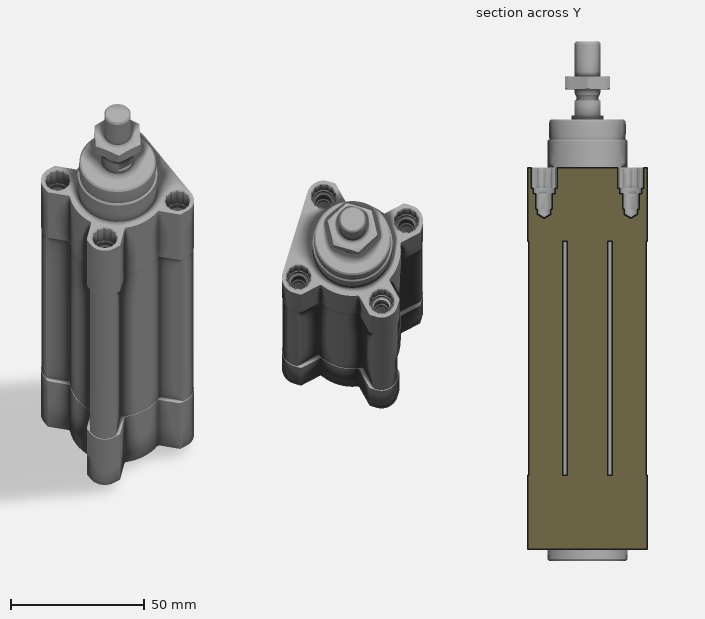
import cadquery as cq
import math


collar_height = 4.3
cap_height = 27.9
barrel_height = 87.8
neck_height = 10.5
guide_height = 7.5
lower_cap_base = collar_height
barrel_base = lower_cap_base + cap_height
upper_cap_base = barrel_base + barrel_height
neck_base = upper_cap_base + cap_height
guide_base = neck_base + neck_height
guide_top = guide_base + guide_height

corner_pitch = 32.5
corner_center = corner_pitch / 2
edge_fillet = 0.8

width = 45.0
cap_reach = width / 2
cap_body_radius = 18.1
cap_flat_end = 13.5
cap_root_fillet = 0.8

barrel_reach = 22.2
barrel_body_radius = 18.0
barrel_flat_end = 15.0
barrel_flank_start = (13.7, 20.7)

collar_diameter = 30.0
collar_chamfer = 0.5
guide_diameter = 29.0
guide_end_diameter = 28.7
guide_top_chamfer = 0.5
neck_chamfer = 0.5

mouth_diameter = 10.0
recess_diameter = 9.0
recess_depth = 7.8
flute_count = 12
flute_diameter = 1.2
flute_reach_diameter = 9.5
socket_diameter = 8.2
socket_depth = 9.8
thread_hole_diameter = 6.0
thread_hole_depth = 15.6
drill_diameter = 4.9
drill_depth = 17.5
drill_point_half_angle = math.radians(59)

total_height = 195.1
rod_diameter = 12.0
rod_inner_end = neck_base
rod_shoulder = 173.0
flat_spacing = 10.0
flat_base = 167.4
thread_diameter = 10.0
thread_end = 176.4
tip_height = 0.8
tip_inset = 0.5
relief_diameter = 8.2
relief_rim_diameter = 9.2
relief_top = 175.0
relief_taper = 0.5

nut_flats = 17.0
nut_thickness = 4.9
nut_base = 177.2
nut_face_diameter = 16.5
nut_chamfer_angle = math.radians(15)


def quarter_turn(point, turns):
    """Point turned about the Z axis by a number of quarter turns."""
    x, y = point
    for _ in range(turns):
        x, y = -y, x
    return (x, y)


def flank_root(start, body_radius):
    """Where the 45 degree flank through start (x, depth below the axis) meets the body circle."""
    offset = start[1] - start[0]
    coordinate_sum = math.sqrt(2 * body_radius**2 - offset**2)
    return ((coordinate_sum - offset) / 2, (coordinate_sum + offset) / 2)


def lobed_prism(reach, body_radius, flat_end, flank_start, base, height, root_fillet=0):
    """Round body with four corner lobes between 45 degree flanks.

    Inner corners are sharp without root_fillet.
    """
    near, far = flank_root(flank_start, body_radius)
    flank_x, flank_depth = flank_start
    has_strip = flank_depth != reach
    lobe_middle = corner_center + (reach - corner_center) / math.sqrt(2)
    outline = cq.Workplane("XY", origin=(0, 0, base)).moveTo(near, -far)
    for turns in range(4):
        if has_strip:
            outline = outline.lineTo(*quarter_turn((flank_x, -flank_depth), turns))
        outline = (
            outline.lineTo(*quarter_turn((flat_end, -reach), turns))
            .lineTo(*quarter_turn((corner_center, -reach), turns))
            .threePointArc(
                quarter_turn((lobe_middle, -lobe_middle), turns),
                quarter_turn((reach, -corner_center), turns),
            )
            .lineTo(*quarter_turn((reach, -flat_end), turns))
        )
        if has_strip:
            outline = outline.lineTo(*quarter_turn((flank_depth, -flank_x), turns))
        outline = outline.lineTo(*quarter_turn((far, -near), turns)).threePointArc(
            quarter_turn((body_radius, 0), turns),
            quarter_turn((far, near), turns),
        )
    prism = outline.close().extrude(height)
    fillets = [((flat_end, -reach), edge_fillet), ((reach, -flat_end), edge_fillet)]
    if root_fillet:
        fillets += [((near, -far), root_fillet), ((far, -near), root_fillet)]
    for turns in range(4):
        for corner, radius in fillets:
            x, y = quarter_turn(corner, turns)
            edge = cq.selectors.NearestToPointSelector((x, y, base + height / 2))
            prism = prism.edges("|Z").edges(edge).fillet(radius)
    return prism


def make_cap(base):
    """End cap whose +Y side is filled flush between its corner lobes."""
    flank_start = (cap_flat_end, cap_reach)
    lobes = lobed_prism(
        cap_reach, cap_body_radius, cap_flat_end, flank_start, base, cap_height, root_fillet=cap_root_fillet
    )
    fill = (
        cq.Workplane("XY", origin=(0, 0, base))
        .rect(2 * corner_center, cap_reach, centered=(True, False))
        .extrude(cap_height)
    )
    return lobes.union(fill)


def make_barrel():
    """Middle section, set back slightly from the caps, with sharp inner corners."""
    return lobed_prism(
        barrel_reach,
        barrel_body_radius,
        barrel_flat_end,
        barrel_flank_start,
        barrel_base,
        barrel_height,
    )


def disc(diameter, base, height):
    return cq.Workplane("XY", origin=(0, 0, base)).circle(diameter / 2).extrude(height)


def turned(outline):
    """Solid of revolution about Z from a closed outline in the XZ plane."""
    return outline.close().revolve(360, (0, 0), (0, 1))


def make_guide():
    """Rod guide with a slightly barrelled side and a chamfered top rim."""
    end_radius = guide_end_diameter / 2
    rim_base = guide_top - guide_top_chamfer
    return turned(
        cq.Workplane("XZ")
        .moveTo(0, guide_base)
        .lineTo(end_radius, guide_base)
        .threePointArc((guide_diameter / 2, (guide_base + rim_base) / 2), (end_radius, rim_base))
        .lineTo(end_radius - guide_top_chamfer, guide_top)
        .lineTo(0, guide_top)
    )


def make_screw_hole():
    """Stepped blind hole with a fluted recess and a drill point, its mouth at the origin."""
    mouth_chamfer = (mouth_diameter - recess_diameter) / 2
    point_depth = drill_depth + drill_diameter / 2 / math.tan(drill_point_half_angle)
    bore = turned(
        cq.Workplane("XZ").polyline([
            (0, 0),
            (mouth_diameter / 2, 0),
            (recess_diameter / 2, -mouth_chamfer),
            (recess_diameter / 2, -recess_depth),
            (socket_diameter / 2, -recess_depth),
            (socket_diameter / 2, -socket_depth),
            (thread_hole_diameter / 2, -socket_depth),
            (thread_hole_diameter / 2, -thread_hole_depth),
            (drill_diameter / 2, -thread_hole_depth),
            (drill_diameter / 2, -drill_depth),
            (0, -point_depth),
        ])
    )
    flute_center = (flute_reach_diameter - flute_diameter) / 2
    flutes = (
        cq.Workplane("XY")
        .polarArray(flute_center, 0, 360, flute_count)
        .circle(flute_diameter / 2)
        .extrude(-recess_depth)
    )
    return bore.union(flutes)


def make_housing():
    """Collar, lower cap, barrel, upper cap, neck and rod guide, with the rod bore and screw holes."""
    collar = disc(collar_diameter, 0, collar_height).faces("<Z").chamfer(collar_chamfer)
    neck = disc(collar_diameter, neck_base, neck_height).faces(">Z").chamfer(neck_chamfer)
    housing = collar.union(make_cap(lower_cap_base)).union(make_barrel()).union(make_cap(upper_cap_base))
    housing = housing.union(neck).union(make_guide())
    housing = housing.cut(disc(rod_diameter, rod_inner_end, guide_top - rod_inner_end))
    screw_hole = make_screw_hole()
    for x in (-corner_center, corner_center):
        for y in (-corner_center, corner_center):
            housing = housing.cut(screw_hole.translate((x, y, neck_base)))
    return housing


def make_rod():
    """Piston rod with two wrench flats, a relief groove and a plain end for the nut."""
    rod_radius = rod_diameter / 2
    thread_radius = thread_diameter / 2
    relief_radius = relief_diameter / 2
    rim_radius = relief_rim_diameter / 2
    rod = turned(
        cq.Workplane("XZ").polyline([
            (0, rod_inner_end),
            (rod_radius, rod_inner_end),
            (rod_radius, rod_shoulder),
            (rim_radius, rod_shoulder),
            (relief_radius, rod_shoulder + relief_taper),
            (relief_radius, relief_top - relief_taper),
            (rim_radius, relief_top),
            (thread_radius, thread_end),
            (thread_radius, total_height - tip_height),
            (thread_radius - tip_inset, total_height),
            (0, total_height),
        ])
    )
    flat_height = rod_shoulder - flat_base
    for side in (-1, 1):
        flat_cut = (
            cq.Workplane("XY", origin=(side * (flat_spacing + rod_diameter) / 2, 0, flat_base))
            .rect(rod_diameter, rod_diameter)
            .extrude(flat_height)
        )
        rod = rod.cut(flat_cut)
    return rod


def make_nut():
    """Hexagon nut with corners up and down Y, bevelled on both faces."""
    corner_radius = nut_flats / 2 / math.cos(math.pi / 6)
    face_radius = nut_face_diameter / 2
    bevel_drop = (corner_radius - face_radius) * math.tan(nut_chamfer_angle)
    nut_top = nut_base + nut_thickness
    blank = turned(
        cq.Workplane("XZ").polyline([
            (0, nut_base),
            (face_radius, nut_base),
            (corner_radius, nut_base + bevel_drop),
            (corner_radius, nut_top - bevel_drop),
            (face_radius, nut_top),
            (0, nut_top),
        ])
    )
    hexagon = (
        cq.Workplane("XY", origin=(0, 0, nut_base))
        .transformed(rotate=(0, 0, 90))
        .polygon(6, 2 * corner_radius)
        .circle(thread_diameter / 2)
        .extrude(nut_thickness)
    )
    return hexagon.intersect(blank)


housing = make_housing()
rod = make_rod()
nut = make_nut()
result = cq.Compound.makeCompound([housing.val(), rod.val(), nut.val()])